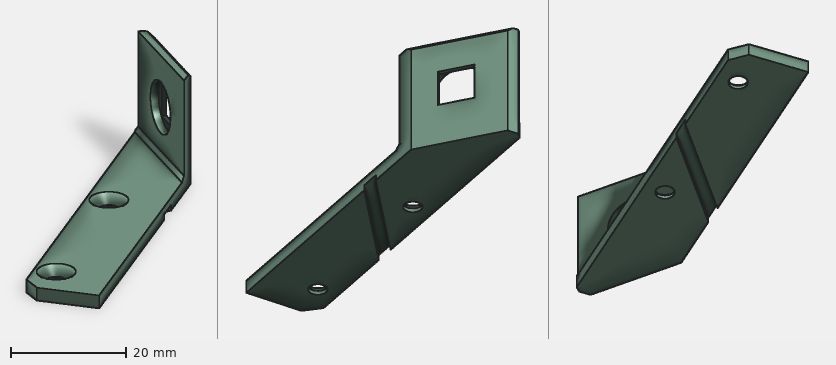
import cadquery as cq
import math

WIDTH = 14.0
LENGTH = 68.75
HEIGHT = 21.4
PLATE_THICKNESS = 2.5
CORNER_CHAMFER = 2.75
TIP_CHAMFER = 0.9

WALL_ANGLE = 52
WALL_THICKNESS = 2.4
TIP_FLAT_END = 3.0
TOP_BEVEL = 0.9
ROOT_CHAMFER = 0.75

RECESS_DIAMETER = 9.7
RECESS_DEPTH = 1.5
WINDOW_SIZE = 6.8
WINDOW_Z = 11.5

HOLE_DIAMETER = 3.4
SINK_DIAMETER = 6.8
SINK_ANGLE = 90
HOLE_X = 4.0
FIRST_HOLE_Y = 7.4
HOLE_PITCH = 31.5

GROOVE_START_Y = 21.1
GROOVE_SPAN_Y = 3.9
GROOVE_ANGLE = 52
GROOVE_DEPTH = 1.0

slope = math.tan(math.radians(WALL_ANGLE))
wall_sine = math.sin(math.radians(WALL_ANGLE))
wall_cosine = math.cos(math.radians(WALL_ANGLE))


def back_y(x):
    """Y of the back face of the wall at a given X."""
    return LENGTH - (x - TIP_FLAT_END) * slope


def outline(height):
    """Plan outline of the whole part, extruded up from Z = 0."""
    points = [
        (CORNER_CHAMFER, 0),
        (WIDTH, 0),
        (WIDTH, back_y(WIDTH)),
        (TIP_FLAT_END, LENGTH),
        (TIP_CHAMFER, LENGTH),
        (0, LENGTH - TIP_CHAMFER),
        (0, CORNER_CHAMFER),
    ]
    return cq.Workplane("XY").polyline(points).close().extrude(height)


mid_x = WIDTH / 2
front_mid_y = back_y(mid_x) - WALL_THICKNESS / wall_cosine
wall_section = cq.Plane(
    origin=(mid_x, front_mid_y, 0),
    xDir=(wall_sine, wall_cosine, 0),
    normal=(wall_cosine, -wall_sine, 0),
)


def make_wall():
    """Bevelled wall profile swept along the slant and trimmed to the outline."""
    profile = [
        (-ROOT_CHAMFER, 0),
        (-ROOT_CHAMFER, PLATE_THICKNESS),
        (0, PLATE_THICKNESS + ROOT_CHAMFER),
        (0, HEIGHT),
        (WALL_THICKNESS - TOP_BEVEL, HEIGHT),
        (WALL_THICKNESS, HEIGHT - TOP_BEVEL),
        (WALL_THICKNESS, 0),
    ]
    strip = cq.Workplane(wall_section).polyline(profile).close().extrude(LENGTH / 2, both=True)
    return strip.intersect(outline(HEIGHT))


def make_window():
    """Round recess in the front face and the square opening through its floor."""
    face = cq.Plane(
        origin=(mid_x, front_mid_y, WINDOW_Z),
        xDir=(wall_cosine, -wall_sine, 0),
        normal=(wall_sine, wall_cosine, 0),
    )
    recess = cq.Workplane(face).circle(RECESS_DIAMETER / 2).extrude(RECESS_DEPTH)
    opening = cq.Workplane(face).rect(WINDOW_SIZE, WINDOW_SIZE).extrude(WALL_THICKNESS * 2)
    return recess.union(opening)


def make_groove():
    """Underside groove running diagonally from the left edge to the right edge."""
    rise = WIDTH * math.tan(math.radians(GROOVE_ANGLE))
    points = [
        (0, GROOVE_START_Y),
        (WIDTH, GROOVE_START_Y + rise),
        (WIDTH, GROOVE_START_Y + GROOVE_SPAN_Y + rise),
        (0, GROOVE_START_Y + GROOVE_SPAN_Y),
    ]
    return cq.Workplane("XY").polyline(points).close().extrude(GROOVE_DEPTH)


plate = outline(PLATE_THICKNESS)
plate = (
    plate.faces(">Z").workplane(origin=(0, 0, 0))
    .pushPoints([(HOLE_X, FIRST_HOLE_Y + i * HOLE_PITCH) for i in range(2)])
    .cskHole(HOLE_DIAMETER, SINK_DIAMETER, SINK_ANGLE)
)

result = plate.union(make_wall()).cut(make_window()).cut(make_groove())